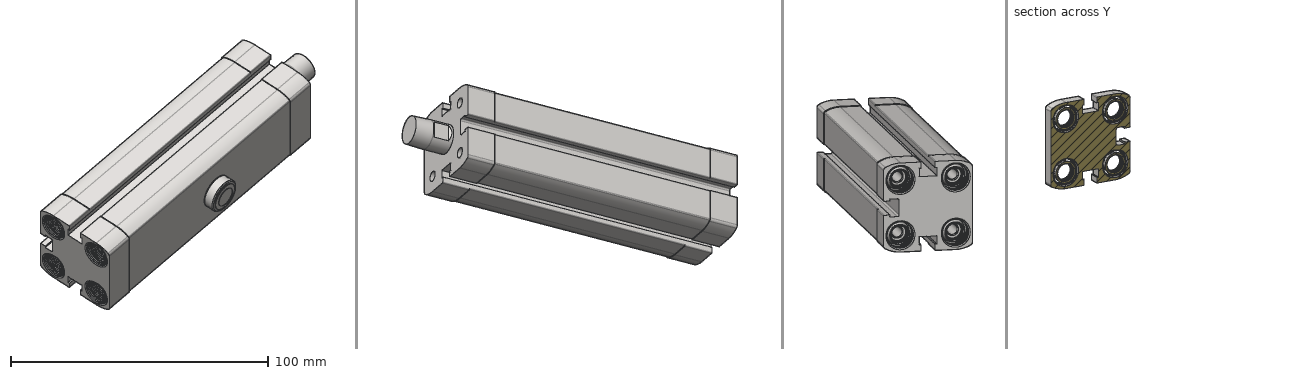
import cadquery as cq
import math

total_length = 135.9
housing_length = 119.5
cap_length = 12.0
cap_width = 35.5
tube_setback = 0.34
half_length = total_length / 2
rod_end_y = half_length - (total_length - housing_length)
half_cap = cap_width / 2
half_tube = half_cap - tube_setback

flat_half_width = 11.0
shoulder_radius = 12.5
cap_corner_radius = 1.4
tube_corner_radius = 0.5

slot_opening = 5.6
slot_width = 7.0
lip_bottom = 15.2
slot_floor = 12.0
side_slot_floor = 11.5
lip_radius = 0.3
side_slot_corner_radius = 0.7

hole_offset = 11.0
screw_bore_diameter = 4.1
screw_mouth_diameter = 4.9
screw_mouth_depth = 0.4
recess_diameter = 11.5
recess_ridge_diameter = 10.5
recess_depth = 5.5
collar_face_diameter = 8.0
collar_base_diameter = 9.5
collar_face_depth = 1.4
socket_diameter = 7.5
socket_ridge_diameter = 6.7
ring_count = 7
ring_pitch = 0.7
ringed_length = ring_count * ring_pitch

rod_diameter = 12.0
rod_tip_diameter = 11.4
taper_length = 7.7
flat_distance = 9.9
flat_length = 6.3
flat_end_gap = 0.7

plug_diameter = 14.0
plug_y = -4.3
plug_end_x = half_cap + 4.8
plug_chamfer = 0.4
plug_shoulder_x = 21.9
plug_step_diameter = 11.5
plug_step_x = 22.3
plug_boss_diameter = 8.0


def profile_solid(half_width, arc_radius, start_y, length):
    """Extrude the square section with crowned shoulders along +Y."""
    centre_z = half_width - arc_radius
    end_z = centre_z + math.sqrt(arc_radius**2 - (half_width - flat_half_width) ** 2)
    middle_angle = math.asin((half_width - flat_half_width) / arc_radius) / 2
    middle_x = flat_half_width + arc_radius * math.sin(middle_angle)
    middle_z = centre_z + arc_radius * math.cos(middle_angle)
    return (
        cq.Workplane("XZ", origin=(0, start_y, 0))
        .moveTo(-flat_half_width, half_width)
        .lineTo(flat_half_width, half_width)
        .threePointArc((middle_x, middle_z), (half_width, end_z))
        .lineTo(half_width, -end_z)
        .threePointArc((middle_x, -middle_z), (flat_half_width, -half_width))
        .lineTo(-flat_half_width, -half_width)
        .threePointArc((-middle_x, -middle_z), (-half_width, -end_z))
        .lineTo(-half_width, end_z)
        .threePointArc((-middle_x, middle_z), (-flat_half_width, half_width))
        .close()
        .extrude(-length)
    )


def slot_cutter(floor, corner_radius):
    """T-slot open towards +Z, running the whole length of the housing."""
    base = cq.Workplane("XZ", origin=(0, -half_length, 0))
    channel = base.center(0, (floor + lip_bottom) / 2).rect(slot_width, lip_bottom - floor)
    channel = channel.extrude(-housing_length)
    if corner_radius:
        channel = channel.faces("<Z").edges("|Y").fillet(corner_radius)
    mouth_height = cap_width - floor
    mouth = base.center(0, floor + mouth_height / 2).rect(slot_opening, mouth_height)
    return channel.union(mouth.extrude(-housing_length))


def add_rings(outline, root_diameter, ridge_diameter, start_y):
    """Continue a revolved outline along +Y with equal V-shaped ridges that point inward."""
    for ring in range(ring_count):
        ring_y = start_y + ring * ring_pitch
        outline = outline.lineTo(ridge_diameter / 2, ring_y + ring_pitch / 2)
        outline = outline.lineTo(root_diameter / 2, ring_y + ring_pitch)
    return outline


def screw_hole():
    """Revolved cutter for one screw hole, along the Y axis from the -Y end."""
    bore = cq.Workplane("XY", origin=(0, -half_length, 0)).moveTo(0, 0).lineTo(recess_diameter / 2, 0)
    bore = add_rings(bore, recess_diameter, recess_ridge_diameter, 0)
    bore = (
        bore.lineTo(recess_diameter / 2, recess_depth)
        .lineTo(collar_base_diameter / 2, recess_depth)
        .lineTo(collar_face_diameter / 2, collar_face_depth)
        .lineTo(socket_diameter / 2, collar_face_depth)
    )
    bore = add_rings(bore, socket_diameter, socket_ridge_diameter, collar_face_depth)
    socket_depth = collar_face_depth + ringed_length
    return (
        bore.lineTo(screw_mouth_diameter / 2, socket_depth)
        .lineTo(screw_bore_diameter / 2, socket_depth + screw_mouth_depth)
        .lineTo(screw_bore_diameter / 2, housing_length)
        .lineTo(0, housing_length)
        .close()
        .revolve(360, (0, 0, 0), (0, 1, 0))
    )


def cut_slots(section):
    """Cut the T-slots into the top, the bottom and the -X side of a housing section."""
    top_slot = slot_cutter(slot_floor, 0)
    side_slot = slot_cutter(side_slot_floor, side_slot_corner_radius)
    return (
        section.cut(top_slot)
        .cut(top_slot.rotate((0, 0, 0), (0, 1, 0), 180))
        .cut(side_slot.rotate((0, 0, 0), (0, 1, 0), -90))
    )


def round_slot_lips(section, half_width):
    """Round the outer edges of the slot lips, which lie on the outer faces near the middle."""

    def is_lip(edge):
        near, far = sorted((abs(edge.Center().x), abs(edge.Center().z)))
        return math.isclose(near, slot_opening / 2) and math.isclose(far, half_width)

    return section.edges("|Y").filter(is_lip).fillet(lip_radius)


def housing_section(setback, corner_radius, start_y, length):
    """A slotted stretch of the housing, its outline set back evenly from the end caps."""
    half_width = half_cap - setback
    section = profile_solid(half_width, shoulder_radius - setback, start_y, length)
    corner_edges = section.faces("<X or >X").edges("|Y").vals()
    section = section.newObject(corner_edges).fillet(corner_radius)
    return round_slot_lips(cut_slots(section), half_width)


def plug_seat():
    """Low round pad on the tube's +X side, level with the end caps."""
    pad = cq.Workplane("YZ", origin=(half_tube, plug_y, 0)).circle(plug_diameter / 2)
    return pad.extrude(tube_setback)


def make_housing():
    """Tube with two end caps, four screw holes and the pad under the plug."""
    tube_length = housing_length - 2 * cap_length
    body = housing_section(tube_setback, tube_corner_radius, cap_length - half_length, tube_length)
    for cap_start_y in (-half_length, rod_end_y - cap_length):
        body = body.union(housing_section(0, cap_corner_radius, cap_start_y, cap_length))
    for x in (-hole_offset, hole_offset):
        for z in (-hole_offset, hole_offset):
            body = body.cut(screw_hole().translate((x, 0, z)))
    return body.union(plug_seat())


def make_rod():
    """End of the piston rod, standing on the cap at the +Y end."""
    taper_start_y = half_length - taper_length
    rod = (
        cq.Workplane("XY")
        .moveTo(0, rod_end_y)
        .lineTo(rod_diameter / 2, rod_end_y)
        .lineTo(rod_diameter / 2, taper_start_y)
        .lineTo(rod_tip_diameter / 2, half_length)
        .lineTo(0, half_length)
        .close()
        .revolve(360, (0, 0, 0), (0, 1, 0))
    )
    flat_x = flat_distance / 2
    flat_end_y = taper_start_y - flat_end_gap
    notch_depth = rod_diameter / 2 - flat_x
    notch = (
        cq.Workplane("XY")
        .moveTo(flat_x, flat_end_y)
        .lineTo(flat_x + flat_end_gap, taper_start_y)
        .lineTo(flat_x + notch_depth, taper_start_y)
        .lineTo(flat_x + notch_depth, flat_end_y - flat_length - notch_depth)
        .lineTo(flat_x, flat_end_y - flat_length)
        .close()
        .extrude(rod_diameter / 2, both=True)
    )
    return rod.cut(notch).cut(notch.mirror("YZ"))


def make_plug():
    """Stepped round plug standing on its pad, pointing to +X."""
    return (
        cq.Workplane("XY", origin=(0, plug_y, 0))
        .moveTo(half_cap, 0)
        .lineTo(half_cap, plug_diameter / 2)
        .lineTo(plug_shoulder_x - plug_chamfer, plug_diameter / 2)
        .lineTo(plug_shoulder_x, plug_diameter / 2 - plug_chamfer)
        .lineTo(plug_shoulder_x, plug_step_diameter / 2)
        .lineTo(plug_step_x, plug_step_diameter / 2)
        .lineTo(plug_step_x, plug_boss_diameter / 2)
        .lineTo(plug_end_x, plug_boss_diameter / 2)
        .lineTo(plug_end_x, 0)
        .close()
        .revolve(360, (0, 0, 0), (1, 0, 0))
    )


housing = make_housing()
rod = make_rod()
plug = make_plug()

result = cq.Compound.makeCompound([housing.val(), rod.val(), plug.val()])